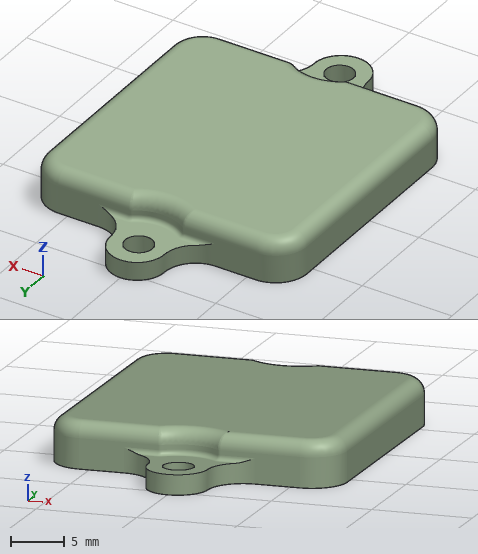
import cadquery as cq
import math

body_side = 29.0
body_height = 4.5
corner_radius = 3.5
top_edge_radius = 1.5

overall_length = 42.0
ear_thickness = 2.0
ear_radius = 3.0
ear_hole_diameter = 3.0
ear_hole_offset = 3.25
ear_root_radius = 0.5

notch_radius = 4.75
notch_depth = 1.0
notch_corner_radius = 0.5

box_margin = 0.05

half_side = body_side / 2
half_length = overall_length / 2
ear_center_y = half_length - ear_radius
flare_radius = ear_center_y - half_side
flare_center_x = ear_radius + flare_radius
hole_y = half_side + ear_hole_offset
notch_center_y = half_side - notch_depth + notch_radius
notch_half_width = math.sqrt(notch_radius**2 - (notch_radius - notch_depth) ** 2)


def at_both_ends(y):
    """Points on the Y axis at the +Y and -Y ends."""
    return [(0, y), (0, -y)]


def make_body():
    """Square body with a clearance notch above each ear and a rounded top edge."""
    block = (
        cq.Workplane("XY")
        .rect(body_side, body_side)
        .extrude(body_height)
        .edges("|Z")
        .fillet(corner_radius)
    )
    notches = (
        cq.Workplane("XY", origin=(0, 0, ear_thickness))
        .pushPoints(at_both_ends(notch_center_y))
        .circle(notch_radius)
        .extrude(body_height - ear_thickness)
    )
    rounded = block.cut(notches).faces(">Z").edges().fillet(top_edge_radius)
    return round_notch_corners(rounded)


def round_notch_corners(body):
    """Round the upright corners where each notch breaks out of the body wall."""
    corner_z = (ear_thickness + body_height - top_edge_radius) / 2
    for corner_x in (-notch_half_width, notch_half_width):
        for corner_y in (-half_side, half_side):
            corner_edge = cq.selectors.BoxSelector(
                (corner_x - box_margin, corner_y - box_margin, corner_z - box_margin),
                (corner_x + box_margin, corner_y + box_margin, corner_z + box_margin),
            )
            body = body.edges(corner_edge).fillet(notch_corner_radius)
    return body


def make_ear_outline(height):
    """Round-ended +Y ear, flaring tangentially into the wall and reaching inside the body."""
    flare_reach = flare_radius * math.sqrt(0.5)
    flare_mid_x = flare_center_x - flare_reach
    flare_mid_y = ear_center_y - flare_reach
    return (
        cq.Workplane("XY")
        .moveTo(flare_center_x, half_side)
        .threePointArc((flare_mid_x, flare_mid_y), (ear_radius, ear_center_y))
        .threePointArc((0, half_length), (-ear_radius, ear_center_y))
        .threePointArc((-flare_mid_x, flare_mid_y), (-flare_center_x, half_side))
        .lineTo(-flare_center_x, 0)
        .lineTo(flare_center_x, 0)
        .close()
        .extrude(height)
    )


def make_ear(body):
    """+Y ear with its root fillet, trimmed from a wider plate blended into the body."""
    plate_half_width = flare_center_x + ear_root_radius
    plate = cq.Workplane("XY").rect(2 * plate_half_width, overall_length).extrude(ear_thickness)
    root_edges = cq.selectors.BoxSelector(
        (-plate_half_width, half_side - notch_depth - box_margin, ear_thickness - box_margin),
        (plate_half_width, half_side + box_margin, ear_thickness + box_margin),
    )
    blended = body.union(plate).edges(root_edges).fillet(ear_root_radius)
    return blended.intersect(make_ear_outline(body_height))


def make_ear_holes():
    """Screw holes through both ears."""
    return (
        cq.Workplane("XY")
        .pushPoints(at_both_ends(hole_y))
        .circle(ear_hole_diameter / 2)
        .extrude(ear_thickness)
    )


body = make_body()
ear = make_ear(body)
opposite_ear = ear.rotate((0, 0, 0), (0, 0, 1), 180)
result = body.union(ear).union(opposite_ear).cut(make_ear_holes())